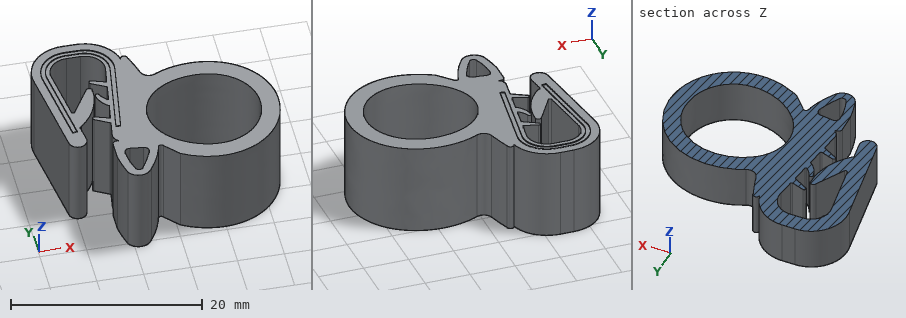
import cadquery as cq
import math

LENGTH = 10.0

CLIP_X = -7.33
CLIP_TOP = 10.705
COVER = 0.98
STRIP = 0.50
LINER = 0.48
WALL = COVER + STRIP + LINER
CROWN_FLAT = 1.50
CROWN_RADIUS = 4.12
LEG_LEAN = 8.4
LEG_LENGTH = 10.33
STRIP_LENGTH = 8.92
STRIP_RECESS = 0.10

RING_CENTER = (4.35, -2.02)
RING_WALL = 1.95
BORE_MEAN_RADIUS = 5.735
BORE_OVAL = 0.265
BORE_OVAL_ANGLE = -9.8
BORE_LOBE = 0.092
BORE_LOBE_ANGLE = 50.3
BORE_POINTS = 24

LIP_TIP = (-2.20, 7.49)
LIP_RADIUS = 0.39
LIP_BULGE = (-1.20, 5.70)
LIP_ROOT = (-0.60, 3.30)
LIP_FILLET = 1.0

BULB_TOP = -4.94
BULB_LEFT = -6.17
BULB_BOTTOM = -10.705
BULB_SHOULDER_RADIUS = 0.45
BULB_HOLE_CORNER = 0.55
BULB_HOLE_TIP = 0.42

BARB_SPACING = 5.65
BARB_ROOT_FILLET = 0.15
HOOK_ROOT_FILLET = 0.10
TONGUE_CROTCH_FILLET = 0.18


def polar(center, radius, angle):
    """Point at a radius and an angle in degrees around a center."""
    a = math.radians(angle)
    return (center[0] + radius * math.cos(a), center[1] + radius * math.sin(a))


def fillet_corner(solid, point, radius):
    """Round the lengthwise edge closest to a point of the profile."""
    target = cq.selectors.NearestToPointSelector((point[0], point[1], LENGTH / 2))
    return solid.edges(target).fillet(radius)


def leg_point(depth, distance):
    """Point on the right leg, at a depth inside its outer face and a distance below the crown."""
    corner = (CLIP_X + CROWN_FLAT / 2, CLIP_TOP - CROWN_RADIUS)
    start = polar(corner, CROWN_RADIUS - depth, -LEG_LEAN)
    return polar(start, distance, -90 - LEG_LEAN)


def mirrored(point):
    """The same point on the other side of the loop's symmetry line."""
    return (2 * CLIP_X - point[0], point[1])


def loop_band(outer_depth, thickness, leg_length):
    """Profile of a band that follows the loop, with square leg ends."""
    corner = (CLIP_X + CROWN_FLAT / 2, CLIP_TOP - CROWN_RADIUS)

    def half_path(depth):
        radius = CROWN_RADIUS - depth
        mid_angle = (90 - LEG_LEAN) / 2
        return [
            leg_point(depth, leg_length),
            leg_point(depth, 0),
            polar(corner, radius, mid_angle),
            polar(corner, radius, 90),
        ]

    def trace(profile, path):
        return (
            profile.lineTo(*path[1])
            .threePointArc(path[2], path[3])
            .lineTo(*path[4])
            .threePointArc(path[5], path[6])
            .lineTo(*path[7])
        )

    right_outer = half_path(outer_depth)
    right_inner = half_path(outer_depth + thickness)
    outer = right_outer + [mirrored(p) for p in reversed(right_outer)]
    inner = [mirrored(p) for p in right_inner] + right_inner[::-1]
    profile = trace(cq.Workplane("XY").moveTo(*outer[0]), outer)
    return trace(profile.lineTo(*inner[0]), inner).close()


def make_loop():
    """The rubber loop with its rounded leg ends."""
    loop = loop_band(0, WALL, LEG_LENGTH).extrude(LENGTH)
    right_end = leg_point(WALL / 2, LEG_LENGTH)
    leg_ends = [right_end, mirrored(right_end)]
    caps = cq.Workplane("XY").pushPoints(leg_ends).circle(WALL / 2).extrude(LENGTH)
    return loop.union(caps)


def ring_profile(offset):
    """Closed curve lying a radial offset outside the bore."""
    points = []
    for i in range(BORE_POINTS):
        angle = 360 * i / BORE_POINTS
        oval = BORE_OVAL * math.cos(math.radians(2 * (angle - BORE_OVAL_ANGLE)))
        lobe = BORE_LOBE * math.cos(math.radians(3 * (angle - BORE_LOBE_ANGLE)))
        points.append(polar(RING_CENTER, BORE_MEAN_RADIUS + oval + lobe + offset, angle))
    return cq.Workplane("XY").spline(points, periodic=True).close()


def make_body():
    """Solid web between loop and ring, with the lip above and the drip bulb below."""
    leg_low = leg_point(WALL / 2, LEG_LENGTH)
    leg_high = leg_point(WALL / 2, 0)
    lip_right = (LIP_TIP[0] + LIP_RADIUS, LIP_TIP[1])
    lip_top = (LIP_TIP[0], LIP_TIP[1] + LIP_RADIUS)
    lip_left = (LIP_TIP[0] - LIP_RADIUS, LIP_TIP[1])
    bulb_shoulder = (BULB_LEFT, BULB_TOP)
    left_straight_end = (BULB_LEFT, -7.40)
    left_flank_mid = (-5.99, -8.45)
    left_flank_end = (-5.60, -9.94)
    bulb_bottom = (-4.40, BULB_BOTTOM)
    right_flank_start = (-3.10, -9.98)
    right_flank_mid = (-2.22, -8.45)
    right_flank_end = (-1.45, -6.00)
    body = (
        cq.Workplane("XY")
        .moveTo(leg_low[0], BULB_TOP)
        .lineTo(*bulb_shoulder)
        .lineTo(*left_straight_end)
        .threePointArc(left_flank_mid, left_flank_end)
        .threePointArc(bulb_bottom, right_flank_start)
        .threePointArc(right_flank_mid, right_flank_end)
        .lineTo(*RING_CENTER)
        .lineTo(*LIP_ROOT)
        .threePointArc(LIP_BULGE, lip_right)
        .threePointArc(lip_top, lip_left)
        .lineTo(*leg_high)
        .close()
        .extrude(LENGTH)
    )
    return fillet_corner(body, bulb_shoulder, BULB_SHOULDER_RADIUS)


def make_bulb_hole():
    """Three-cornered hole with bowed flanks and rounded corners."""
    left_corner = (-5.20, -6.29)
    right_corner = (-2.50, -6.62)
    tip = (-4.36, -10.25)
    left_flank_mid = (-5.03, -8.40)
    right_flank_mid = (-3.25, -8.45)
    hole = (
        cq.Workplane("XY")
        .moveTo(*left_corner)
        .threePointArc(left_flank_mid, tip)
        .threePointArc(right_flank_mid, right_corner)
        .close()
        .extrude(LENGTH)
    )
    hole = fillet_corner(hole, left_corner, BULB_HOLE_CORNER)
    hole = fillet_corner(hole, right_corner, BULB_HOLE_CORNER)
    return fillet_corner(hole, tip, BULB_HOLE_TIP)


def make_notch():
    """Round-ended notch between drip bulb and ring; it flattens the ring beside it."""
    bulb_side_low = (-1.73, -7.10)
    bulb_side_high = (-1.66, -6.82)
    top = (-1.40, -6.55)
    ring_side_high = (-1.07, -6.72)
    ring_side_low = (0.74, -8.67)
    outside = (-0.70, -8.00)
    return (
        cq.Workplane("XY")
        .moveTo(*bulb_side_low)
        .lineTo(*bulb_side_high)
        .threePointArc(top, ring_side_high)
        .lineTo(*ring_side_low)
        .lineTo(*outside)
        .close()
        .extrude(LENGTH)
    )


def make_barb():
    """Upper straight barb; its root is buried in the right leg."""
    upper_root = (-4.40, 4.16)
    upper_tip = (-6.32, 4.80)
    tip = (-6.57, 4.62)
    lower_tip = (-6.47, 4.40)
    lower_root = (-4.40, 3.27)
    return (
        cq.Workplane("XY")
        .moveTo(*upper_root)
        .lineTo(*upper_tip)
        .threePointArc(tip, lower_tip)
        .lineTo(*lower_root)
        .close()
        .extrude(LENGTH)
    )


def make_hook():
    """Curved barb between the two straight ones; its root is buried in the right leg."""
    upper_root = (-4.70, 1.10)
    upper_curve_start = (-5.27, 1.61)
    upper_curve_mid = (-5.66, 2.02)
    upper_tip = (-5.94, 2.50)
    tip = (-6.17, 2.66)
    lower_tip = (-6.38, 2.44)
    lower_curve_mid = (-6.07, 1.48)
    lower_curve_end = (-5.25, 0.58)
    lower_root = (-4.70, 0.20)
    return (
        cq.Workplane("XY")
        .moveTo(*upper_root)
        .lineTo(*upper_curve_start)
        .threePointArc(upper_curve_mid, upper_tip)
        .threePointArc(tip, lower_tip)
        .threePointArc(lower_curve_mid, lower_curve_end)
        .lineTo(*lower_root)
        .close()
        .extrude(LENGTH)
    )


def make_tongue():
    """Blade rising from the left leg towards the barbs."""
    upper_root = (-9.70, -0.75)
    upper_tip = (-7.17, 3.42)
    tip = (-6.80, 3.68)
    lower_tip = (-6.48, 3.42)
    belly_mid = (-6.93, 0.77)
    belly_end = (-8.82, -1.97)
    lower_root = (-9.40, -2.25)
    return (
        cq.Workplane("XY")
        .moveTo(*upper_root)
        .lineTo(*upper_tip)
        .threePointArc(tip, lower_tip)
        .threePointArc(belly_mid, belly_end)
        .lineTo(*lower_root)
        .close()
        .extrude(LENGTH)
    )


barb_step = polar((0, 0), BARB_SPACING, -90 - LEG_LEAN)
upper_barb = make_barb()
lower_barb = upper_barb.translate((barb_step[0], barb_step[1], 0))

result = make_loop().union(make_body()).union(ring_profile(RING_WALL).extrude(LENGTH))
for blade in (upper_barb, make_hook(), lower_barb, make_tongue()):
    result = result.union(blade)
result = result.cut(ring_profile(0).extrude(LENGTH)).cut(make_bulb_hole()).cut(make_notch())

barb_upper_root = (-4.72, 4.27)
barb_lower_root = (-4.85, 3.50)
hook_upper_root = (-5.12, 1.47)
tongue_crotch = (-9.35, -0.17)
for root in (barb_upper_root, barb_lower_root):
    lower_root = (root[0] + barb_step[0], root[1] + barb_step[1])
    result = fillet_corner(result, root, BARB_ROOT_FILLET)
    result = fillet_corner(result, lower_root, BARB_ROOT_FILLET)
result = fillet_corner(result, hook_upper_root, HOOK_ROOT_FILLET)
result = fillet_corner(result, tongue_crotch, TONGUE_CROTCH_FILLET)
result = fillet_corner(result, LIP_ROOT, LIP_FILLET)

strip_recess = loop_band(COVER, STRIP, STRIP_LENGTH).extrude(STRIP_RECESS)
result = result.cut(strip_recess.translate((0, 0, LENGTH - STRIP_RECESS)))